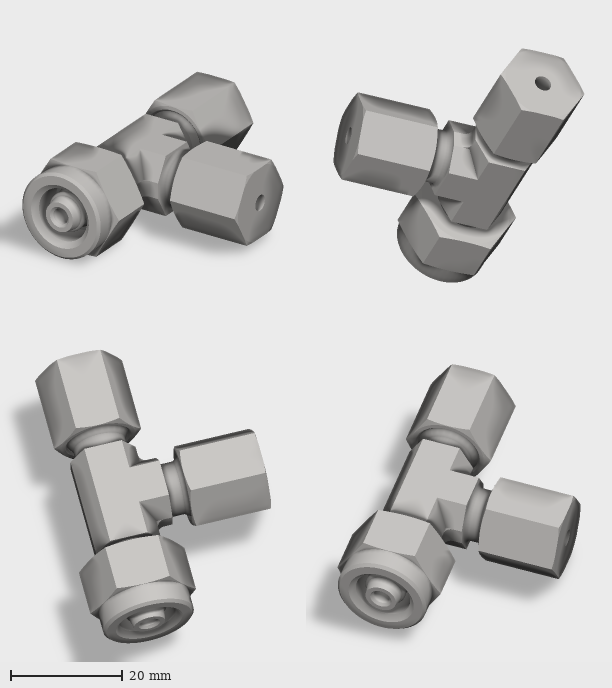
import cadquery as cq
import math


bar_flats = 12.0
bar_half_width = 6.05
bar_arm = 9.05
bar_swivel_arm = 9.65
crotch_radius = 1.4
bore_radius = 1.55

neck_radius = 4.85
neck_fillet = 0.7
neck_end = 11.65
thread_radius = 5.75
runout_angle = 30.0
thread_end = 19.1

shank_radius = 5.0
collar_radius = 5.15
collar_length = 2.05
nose_radius = 2.9
nose_end = 24.6
cone_base_radius = 4.35
cone_half_angle = 12.0
bore_mouth_radius = 2.0
bore_mouth_depth = 0.45

ring_section_radius = 0.7
ring_outer_radius = 3.8
ring_position = 21.85

nut_flats = 14.0
nut_start = 12.5
nut_end = 27.0
nut_start_face_radius = 6.85
nut_end_face_radius = 7.2
nut_start_slope = 20.0
nut_end_slope = 15.0
nut_countersink = 0.4

swivel_flats = 17.0
swivel_start = 11.35
swivel_hex_end = 20.4
swivel_end = 24.4
swivel_start_face_radius = 8.45
swivel_skirt_radius = 8.4
swivel_slope = 15.0
skirt_chamfer = 0.5
mouth_radius = 6.2
mouth_depth = 1.05


def corner_radius(flats):
    return flats / math.sqrt(3)


def slope_drop(radial_step, angle):
    return radial_step * math.tan(math.radians(angle))


def turned(profile):
    """Revolve a closed (radius, along) outline about the Z axis."""
    return cq.Workplane("XZ").polyline(profile).close().revolve(360, (0, 0), (0, 1))


def cylinder(radius, start, end):
    return cq.Workplane("XY").workplane(offset=start).circle(radius).extrude(end - start)


def hex_bar(flats, start, end):
    diameter = 2 * corner_radius(flats)
    return cq.Workplane("XY").workplane(offset=start).polygon(6, diameter).extrude(end - start)


def chamfered_hex(flats, start, end, start_face, start_slope, end_face, end_slope):
    """Hexagonal bar with its corners turned off conically at both ends."""
    corner = corner_radius(flats)
    start_drop = slope_drop(corner - start_face, start_slope)
    end_drop = slope_drop(corner - end_face, end_slope)
    envelope = turned([
        (0, start),
        (start_face, start),
        (corner, start + start_drop),
        (corner, end - end_drop),
        (end_face, end),
        (0, end),
    ])
    return hex_bar(flats, start, end).intersect(envelope)


def to_plus_y(arm):
    return arm.rotate((0, 0, 0), (1, 0, 0), -90)


def to_plus_x(arm):
    return to_plus_y(arm).rotate((0, 0, 0), (0, 0, 1), -90)


def to_minus_y(arm):
    return arm.rotate((0, 0, 0), (1, 0, 0), 90)


tube_arm_directions = [to_plus_y, to_plus_x]


cone_base = nose_end - (cone_base_radius - nose_radius) / math.tan(math.radians(cone_half_angle))
collar_start = cone_base - collar_length


def truncated_bar(start, end):
    slab = (
        cq.Workplane("XY")
        .workplane(offset=start)
        .rect(2 * bar_half_width, bar_flats)
        .extrude(end - start)
    )
    return hex_bar(bar_flats, start, end).intersect(slab)


def crotch(side):
    """Concave filler in one inside corner, as high as the truncated flats."""
    half_height = (corner_radius(bar_flats) - bar_half_width) * math.sqrt(3)
    start = bar_half_width
    end = start + crotch_radius
    inset = end - crotch_radius / math.sqrt(2)
    return (
        cq.Workplane("XY")
        .workplane(offset=-half_height)
        .moveTo(start, side * start)
        .lineTo(end, side * start)
        .threePointArc((inset, side * inset), (start, side * end))
        .close()
        .extrude(2 * half_height)
    )


def tube_spigot():
    """Filleted relief neck running out into the thread cylinder."""
    runout_end = neck_end + (thread_radius - neck_radius) / math.tan(math.radians(runout_angle))
    fillet_end = bar_arm + neck_fillet
    arc_inset = neck_fillet * (1 - 1 / math.sqrt(2))
    return (
        cq.Workplane("XZ")
        .moveTo(0, 0)
        .lineTo(neck_radius + neck_fillet, 0)
        .lineTo(neck_radius + neck_fillet, bar_arm)
        .threePointArc((neck_radius + arc_inset, bar_arm + arc_inset), (neck_radius, fillet_end))
        .lineTo(neck_radius, neck_end)
        .lineTo(thread_radius, runout_end)
        .lineTo(thread_radius, thread_end)
        .lineTo(0, thread_end)
        .close()
        .revolve(360, (0, 0), (0, 1))
    )


def swivel_spigot():
    """Shank, collar and sealing cone with the O-ring groove."""
    spigot = turned([
        (0, 0),
        (shank_radius, 0),
        (shank_radius, collar_start),
        (collar_radius, collar_start),
        (collar_radius, cone_base),
        (cone_base_radius, cone_base),
        (nose_radius, nose_end),
        (0, nose_end),
    ])
    groove_start = ring_position - ring_section_radius
    groove_end = ring_position + ring_section_radius
    groove_floor = ring_outer_radius - 2 * ring_section_radius
    groove = cylinder(cone_base_radius, groove_start, groove_end)
    groove = groove.cut(cylinder(groove_floor, groove_start, groove_end))
    return spigot.cut(groove)


def swivel_bore():
    mouth_start = nose_end - bore_mouth_depth
    return turned([
        (0, 0),
        (bore_radius, 0),
        (bore_radius, mouth_start),
        (bore_mouth_radius, nose_end),
        (0, nose_end),
    ])


def make_tee():
    tee = to_plus_y(truncated_bar(-bar_swivel_arm, bar_arm))
    tee = tee.union(to_plus_x(truncated_bar(0, bar_arm)))
    for side in (-1, 1):
        tee = tee.union(crotch(side))
    for direct in tube_arm_directions:
        tee = tee.union(direct(tube_spigot()))
    tee = tee.union(to_minus_y(swivel_spigot()))
    for direct in tube_arm_directions:
        tee = tee.cut(direct(cylinder(bore_radius, 0, thread_end)))
    return tee.cut(to_minus_y(swivel_bore()))


def make_o_ring():
    centre_radius = ring_outer_radius - ring_section_radius
    ring = (
        cq.Workplane("XZ")
        .center(centre_radius, ring_position)
        .circle(ring_section_radius)
        .revolve(360, (-centre_radius, 0), (-centre_radius, 1))
    )
    return to_minus_y(ring)


def make_tube_nut():
    nut = chamfered_hex(
        nut_flats, nut_start, nut_end,
        nut_start_face_radius, nut_start_slope, nut_end_face_radius, nut_end_slope,
    )
    socket = turned([
        (0, nut_start),
        (thread_radius + nut_countersink, nut_start),
        (thread_radius, nut_start + nut_countersink),
        (thread_radius, thread_end),
        (0, thread_end),
    ])
    return nut.cut(socket).cut(cylinder(bore_radius, thread_end, nut_end))


def make_swivel_nut():
    nut = chamfered_hex(
        swivel_flats, swivel_start, swivel_hex_end,
        swivel_start_face_radius, swivel_slope, swivel_skirt_radius, swivel_slope,
    )
    skirt = cylinder(swivel_skirt_radius, swivel_hex_end, swivel_end)
    nut = nut.union(skirt.faces(">Z").chamfer(skirt_chamfer))
    opening = turned([
        (0, swivel_start),
        (shank_radius, swivel_start),
        (shank_radius, collar_start),
        (collar_radius, collar_start),
        (collar_radius, swivel_end - mouth_depth),
        (mouth_radius, swivel_end),
        (0, swivel_end),
    ])
    return to_minus_y(nut.cut(opening))


tee = make_tee()
o_ring = make_o_ring()
swivel_nut = make_swivel_nut()
tube_nuts = [direct(make_tube_nut()) for direct in tube_arm_directions]

result = cq.Compound.makeCompound([
    tee.val(),
    o_ring.val(),
    swivel_nut.val(),
    *[nut.val() for nut in tube_nuts],
])